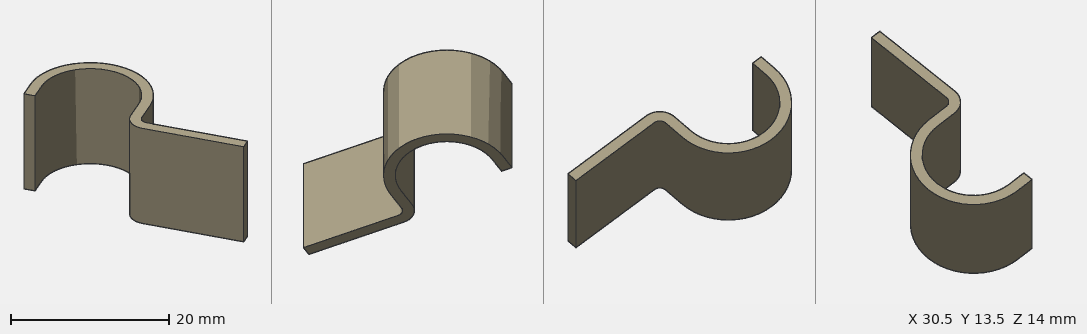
import cadquery as cq
import math

length = 30.5
width = 14.0
thickness = 1.5
hook_radius = 8.0
free_leg = 2.5
joining_leg = 3.02
bend_inner_radius = 1.0

hook_inner_radius = hook_radius - thickness
bend_outer_radius = bend_inner_radius + thickness
bend_x = hook_inner_radius + bend_outer_radius
bend_y = -joining_leg
flange_end_x = length - hook_radius
flange_bottom_y = bend_y - bend_outer_radius
flange_top_y = bend_y - bend_inner_radius


def bend_middle(radius):
    """Midpoint of the quarter-round bend at the given radius."""
    offset = radius * math.sqrt(0.5)
    return (bend_x - offset, bend_y - offset)


profile = (
    cq.Workplane("XY")
    .moveTo(-hook_radius, -free_leg)
    .lineTo(-hook_radius, 0)
    .threePointArc((0, hook_radius), (hook_radius, 0))
    .lineTo(hook_radius, bend_y)
    .threePointArc(bend_middle(bend_inner_radius), (bend_x, flange_top_y))
    .lineTo(flange_end_x, flange_top_y)
    .lineTo(flange_end_x, flange_bottom_y)
    .lineTo(bend_x, flange_bottom_y)
    .threePointArc(bend_middle(bend_outer_radius), (hook_inner_radius, bend_y))
    .lineTo(hook_inner_radius, 0)
    .threePointArc((0, hook_inner_radius), (-hook_inner_radius, 0))
    .lineTo(-hook_inner_radius, -free_leg)
    .close()
)

result = profile.extrude(width)